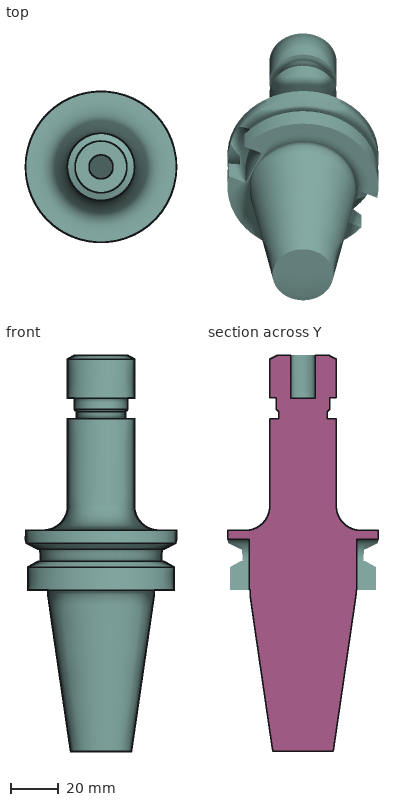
import cadquery as cq
import math


gauge_diameter = 44.45
taper_length = 65.4
taper_ratio = 7 / 24
taper_end_diameter = gauge_diameter - taper_length * taper_ratio

flange_diameter = 63.0
flange_bottom = 2.0
flange_top = 27.0
groove_floor_diameter = 53.0
groove_center = 16.6
groove_floor_width = 5.0
groove_mouth_width = 10.0
groove_wall_angle = 30.0

slot_width = 16.1
slot_top = 23.0
slot_floor_offset = 22.6

body_diameter = 28.0
body_fillet = 10.0
body_top = 73.5
neck_diameter = 20.5
neck_top = 76.4

collar_diameter = 22.4
collar_bevel_height = 0.9
nut_diameter = 28.0
nut_bottom = 82.0
nut_top = 100.0
nut_bevel_height = 1.7
nut_face_diameter = 21.6

bore_diameter = 10.0
bore_depth = nut_top - nut_bottom


def make_turned_body():
    """Revolve the half profile, traced from the taper end up to the nut face."""
    flange_radius = flange_diameter / 2
    groove_floor_radius = groove_floor_diameter / 2
    body_radius = body_diameter / 2
    groove_mouth_bottom = groove_center - groove_mouth_width / 2
    groove_mouth_top = groove_center + groove_mouth_width / 2
    groove_floor_bottom = groove_center - groove_floor_width / 2
    groove_floor_top = groove_center + groove_floor_width / 2

    wall_height = groove_floor_bottom - groove_mouth_bottom
    wall_inner_radius = flange_radius - wall_height / math.tan(math.radians(groove_wall_angle))

    fillet_start_radius = body_radius + body_fillet
    fillet_inset = body_fillet * (1 - math.sqrt(0.5))
    fillet_middle = (body_radius + fillet_inset, flange_top + fillet_inset)

    profile = (
        cq.Workplane("XZ")
        .moveTo(0, -taper_length)
        .lineTo(taper_end_diameter / 2, -taper_length)
        .lineTo(gauge_diameter / 2, 0)
        .lineTo(gauge_diameter / 2, flange_bottom)
        .lineTo(flange_radius, flange_bottom)
        .lineTo(flange_radius, groove_mouth_bottom)
        .lineTo(wall_inner_radius, groove_floor_bottom)
        .lineTo(groove_floor_radius, groove_floor_bottom)
        .lineTo(groove_floor_radius, groove_floor_top)
        .lineTo(wall_inner_radius, groove_floor_top)
        .lineTo(flange_radius, groove_mouth_top)
        .lineTo(flange_radius, flange_top)
        .lineTo(fillet_start_radius, flange_top)
        .threePointArc(fillet_middle, (body_radius, flange_top + body_fillet))
        .lineTo(body_radius, body_top)
        .lineTo(neck_diameter / 2, body_top)
        .lineTo(neck_diameter / 2, neck_top)
        .lineTo(collar_diameter / 2, neck_top + collar_bevel_height)
        .lineTo(collar_diameter / 2, nut_bottom)
        .lineTo(nut_diameter / 2, nut_bottom)
        .lineTo(nut_diameter / 2, nut_top - nut_bevel_height)
        .lineTo(nut_face_diameter / 2, nut_top)
        .lineTo(0, nut_top)
        .close()
    )
    return profile.revolve(360, (0, 0, 0), (0, 1, 0))


def make_drive_slot(side):
    """Round-topped slot, open at the flange underside, on the +X (1) or -X (-1) side."""
    slot_radius = slot_width / 2
    arc_center = slot_top - slot_radius
    return (
        cq.Workplane("YZ", origin=(side * slot_floor_offset, 0, 0))
        .moveTo(-slot_radius, flange_bottom)
        .lineTo(slot_radius, flange_bottom)
        .lineTo(slot_radius, arc_center)
        .threePointArc((0, slot_top), (-slot_radius, arc_center))
        .close()
        .extrude(side * flange_diameter / 2)
    )


def make_bore():
    """Blind tool bore, sunk from the nut face."""
    return cq.Workplane("XY", origin=(0, 0, nut_top)).circle(bore_diameter / 2).extrude(-bore_depth)


result = make_turned_body()
for side in (-1, 1):
    result = result.cut(make_drive_slot(side))
result = result.cut(make_bore())